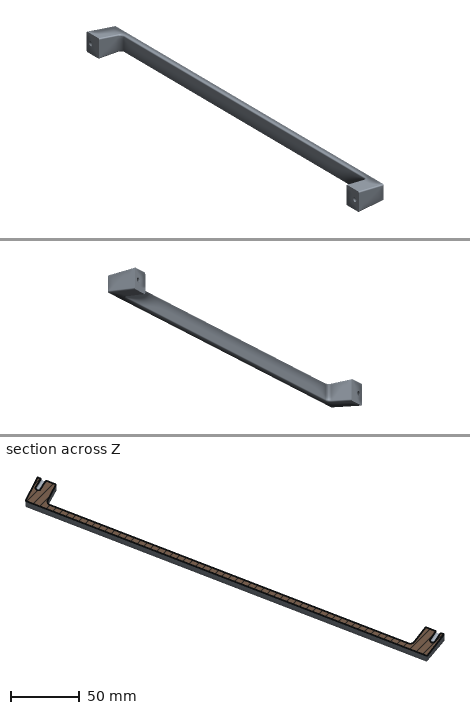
import cadquery as cq
import math

length = 330.0
depth = 24.0
foot_height = 16.5
back_height = 13.0
foot_width = 15.2
foot_lean = 2.0
bar_thickness = 5.0
inner_radius = 3.3
edge_radius = 1.0
hole_spacing = 320.0
hole_diameter = 3.5
hole_depth = 10.0
drill_point_angle = 118.0

front_y = -depth / 2
back_y = depth / 2
bar_front_y = back_y - bar_thickness

end_x = length / 2
inner_x = end_x - foot_width
back_end_x = end_x - foot_lean
inner_corner_x = inner_x - foot_lean * (depth - bar_thickness) / depth


def make_bridge():
    """Bow handle outline in XY, with both feet leaning inward."""
    right_half = [
        (back_end_x, back_y),
        (end_x, front_y),
        (inner_x, front_y),
        (inner_corner_x, bar_front_y),
    ]
    left_half = [(-x, y) for x, y in reversed(right_half)]
    return (
        cq.Workplane("XY")
        .polyline(right_half + left_half)
        .close()
        .extrude(foot_height / 2, both=True)
    )


def make_height_taper():
    """Wedge in YZ that narrows the handle towards its back."""
    return (
        cq.Workplane("YZ")
        .polyline([
            (front_y, -foot_height / 2),
            (front_y, foot_height / 2),
            (back_y, back_height / 2),
            (back_y, -back_height / 2),
        ])
        .close()
        .extrude(length / 2, both=True)
    )


def corner_selector(x, y):
    """Selects both upright edges centred on (x, y) and (-x, y)."""
    reach = edge_radius
    boxes = [
        cq.selectors.BoxSelector(
            (side * x - reach, y - reach, -reach),
            (side * x + reach, y + reach, reach),
        )
        for side in (-1, 1)
    ]
    return boxes[0] + boxes[1]


def soften_edges(body):
    """Round the inside corners, the inner rim and the rims of the outer ends."""
    body = body.edges(corner_selector(inner_corner_x, bar_front_y)).fillet(inner_radius)

    inner_rim = cq.selectors.BoxSelector(
        (-inner_x, front_y + edge_radius, -foot_height),
        (inner_x, bar_front_y + edge_radius, foot_height),
    )
    body = body.edges(inner_rim).fillet(edge_radius)

    end_rim = body.faces("<X or >X").edges("not <Y")
    return end_rim.fillet(edge_radius)


def cut_mounting_holes(body):
    """Blind drilled screw holes with conical bottoms in the mounting faces."""
    hole_radius = hole_diameter / 2
    point_length = hole_radius / math.tan(math.radians(drill_point_angle / 2))
    bottom_y = front_y + hole_depth
    drill = (
        cq.Workplane("XY")
        .polyline([
            (0, front_y),
            (hole_radius, front_y),
            (hole_radius, bottom_y),
            (0, bottom_y + point_length),
        ])
        .close()
        .revolve(360, (0, 0), (0, 1))
    )
    for hole_x in (-hole_spacing / 2, hole_spacing / 2):
        body = body.cut(drill.translate((hole_x, 0, 0)))
    return body


handle = make_bridge().intersect(make_height_taper())
result = cut_mounting_holes(soften_edges(handle))